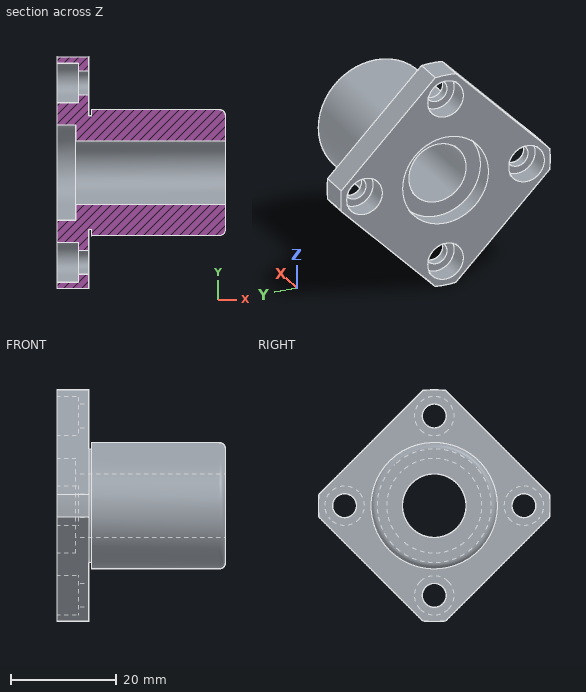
import cadquery as cq

flange_diameter = 44.0
flange_side = 34.0
flange_thickness = 6.05

total_length = 32.0
body_diameter = 24.0
body_end_radius = 1.2
neck_diameter = 21.6
neck_length = 0.5

bore_diameter = 12.0
recess_diameter = 18.0
recess_depth = 3.55

hole_count = 4
hole_diameter = 4.5
counterbore_diameter = 7.5
counterbore_depth = 4.1
hole_circle_radius = flange_side / 2


def cylinder(diameter, start, length):
    """Solid cylinder along X, centred on the part axis."""
    return cq.Workplane("YZ", origin=(start, 0, 0)).circle(diameter / 2).extrude(length)


def make_flange():
    square = (
        cq.Workplane("YZ")
        .rect(flange_side, flange_side)
        .extrude(flange_thickness)
        .rotate((0, 0, 0), (1, 0, 0), 45)
    )
    return square.intersect(cylinder(flange_diameter, 0, flange_thickness))


def make_body():
    neck = cylinder(neck_diameter, flange_thickness, neck_length)
    body_start = flange_thickness + neck_length
    body = cylinder(body_diameter, body_start, total_length - body_start)
    return neck.union(body.faces(">X").edges().fillet(body_end_radius))


def make_mounting_holes():
    """Counterbored hole cutters on the Y and Z axes of the flange."""
    centres = cq.Workplane("YZ").polarArray(hole_circle_radius, 0, 360, hole_count)
    through_holes = centres.circle(hole_diameter / 2).extrude(flange_thickness)
    counterbores = centres.circle(counterbore_diameter / 2).extrude(counterbore_depth)
    return through_holes.union(counterbores)


result = (
    make_flange()
    .union(make_body())
    .cut(cylinder(bore_diameter, 0, total_length))
    .cut(cylinder(recess_diameter, 0, recess_depth))
    .cut(make_mounting_holes())
)